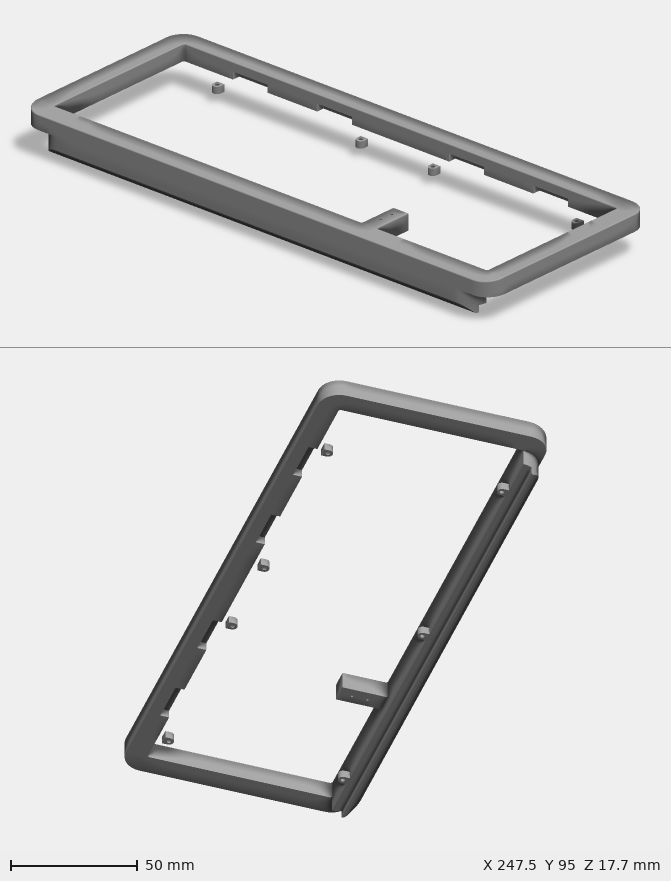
import cadquery as cq
length = 247.5
depth = 95.0
height = 7.7
end_rail_width = 9.2
long_rail_width = 9.0
corner_radius = 9.0
opening_corner_radius = 1.0
edge_radius = 0.5
front_drop = 1.0
half_length = length / 2
half_depth = depth / 2
opening_front = -half_depth + long_rail_width
opening_back = half_depth - long_rail_width
opening_length = length - 2 * end_rail_width
opening_depth = depth - 2 * long_rail_width

skirt_length = 228.8
skirt_bottom = -6.7
lip_bottom = -10.0
lip_back = -42.3
lip_front = -43.5
lip_slope_top = -6.0

notch_pair_center = 57.2
notch_pair_spacing = 44.5
notch_length = 18.3
notch_height = 3.5
notch_depth = 3.7

tab_center = 52.2
tab_width = 8.0
tab_reach = 18.8
tab_hole_diameter = 1.0
tab_hole_places = [-31.7, -25.3]

eyelet_height = 3.2
eyelet_reach = 4.2
eyelet_diameter = 4.0
eyelet_hole_diameter = 1.8
outer_eyelet_place = 95.0
inner_eyelet_place = 19.0

tolerance = 0.02


def make_opening():
    """The opening of the frame, leaving the tab standing, with its inward corners rounded."""
    opening = cq.Workplane("XY").rect(opening_length, opening_depth).extrude(height)
    tab = (
        cq.Workplane("XY", origin=(tab_center, opening_front, 0))
        .rect(tab_width, 2 * tab_reach)
        .extrude(height)
    )
    front_corners = opening.cut(tab).edges("|Z and <Y").fillet(opening_corner_radius)
    return front_corners.edges("|Z and >Y").fillet(opening_corner_radius)


def rim_picker(y, z):
    """Picks the straight edge along X at y and z; rounding it carries on round the corners next to it."""
    return cq.selectors.BoxSelector(
        (-half_length, y - tolerance, z - tolerance),
        (half_length, y + tolerance, z + tolerance),
    )


def make_ring():
    """The rails and the tab, with the front rail sloping outward and the top edges rounded."""
    plate = cq.Workplane("XY").rect(length, depth).extrude(height).edges("|Z").fillet(corner_radius)
    ring = plate.cut(make_opening())

    inner_rim = ring.faces(">Z").val().innerWires()[0]
    ring = ring.newObject(inner_rim.Edges()).fillet(edge_radius)

    slope = (
        cq.Workplane("YZ")
        .polyline([(opening_front, height), (-half_depth, height), (-half_depth, height - front_drop)])
        .close()
        .extrude(half_length, both=True)
    )
    ring = ring.cut(slope)

    back_rim = rim_picker(half_depth, height)
    front_rim = rim_picker(-half_depth, height - front_drop)
    return ring.edges(back_rim + front_rim).fillet(edge_radius)


def make_skirt():
    """The wall under the front rail: its lip is set back from the inside and sloped on the outside."""
    skirt = (
        cq.Workplane("XY", origin=(0, -half_depth + corner_radius, 0))
        .rect(skirt_length, 2 * corner_radius)
        .extrude(lip_bottom)
    )
    skirt = skirt.edges("|Z and <Y").fillet(corner_radius)
    profile = (
        cq.Workplane("YZ")
        .moveTo(opening_front, 0)
        .lineTo(-half_depth, 0)
        .lineTo(-half_depth, lip_slope_top)
        .lineTo(lip_front, lip_bottom)
        .lineTo(lip_back, lip_bottom)
        .lineTo(lip_back, skirt_bottom)
        .lineTo(opening_front, skirt_bottom)
        .close()
        .extrude(half_length, both=True)
    )
    return skirt.intersect(profile)


def make_notches():
    """Cutters for the notches along the lower inner edge of the back rail."""
    half_spacing = notch_pair_spacing / 2
    places = [
        (side * notch_pair_center + shift, opening_back + notch_depth / 2)
        for side in (-1, 1)
        for shift in (-half_spacing, half_spacing)
    ]
    return cq.Workplane("XY").pushPoints(places).rect(notch_length, notch_depth).extrude(notch_height)


def make_tab_holes():
    places = [(tab_center, y) for y in tab_hole_places]
    return cq.Workplane("XY").pushPoints(places).circle(tab_hole_diameter / 2).extrude(height)


def make_eyelet(x, wall, direction):
    """A round-ended ear standing off a wall along Y, with an upright hole centred on its end."""
    radius = eyelet_diameter / 2
    center = wall + direction * (eyelet_reach - radius)
    ear = (
        cq.Workplane("XY", origin=(x, 0, skirt_bottom))
        .moveTo(-radius, wall)
        .lineTo(-radius, center)
        .threePointArc((0, center + direction * radius), (radius, center))
        .lineTo(radius, wall)
        .close()
        .extrude(eyelet_height)
    )
    hole = (
        cq.Workplane("XY", origin=(x, center, skirt_bottom))
        .circle(eyelet_hole_diameter / 2)
        .extrude(eyelet_height)
    )
    return ear.cut(hole)


def make_frame():
    """The ring, its skirt and the three eyelets that grow from the skirt, as one body."""
    frame = make_ring().cut(make_notches()).cut(make_tab_holes()).union(make_skirt())
    for x in (-outer_eyelet_place, 0, outer_eyelet_place):
        frame = frame.union(make_eyelet(x, opening_front, 1))
    return frame


frame = make_frame()

back_eyelet_places = (-outer_eyelet_place, -inner_eyelet_place, inner_eyelet_place, outer_eyelet_place)
back_eyelets = [make_eyelet(x, opening_back, -1).val() for x in back_eyelet_places]

result = cq.Compound.makeCompound([frame.val(), *back_eyelets])